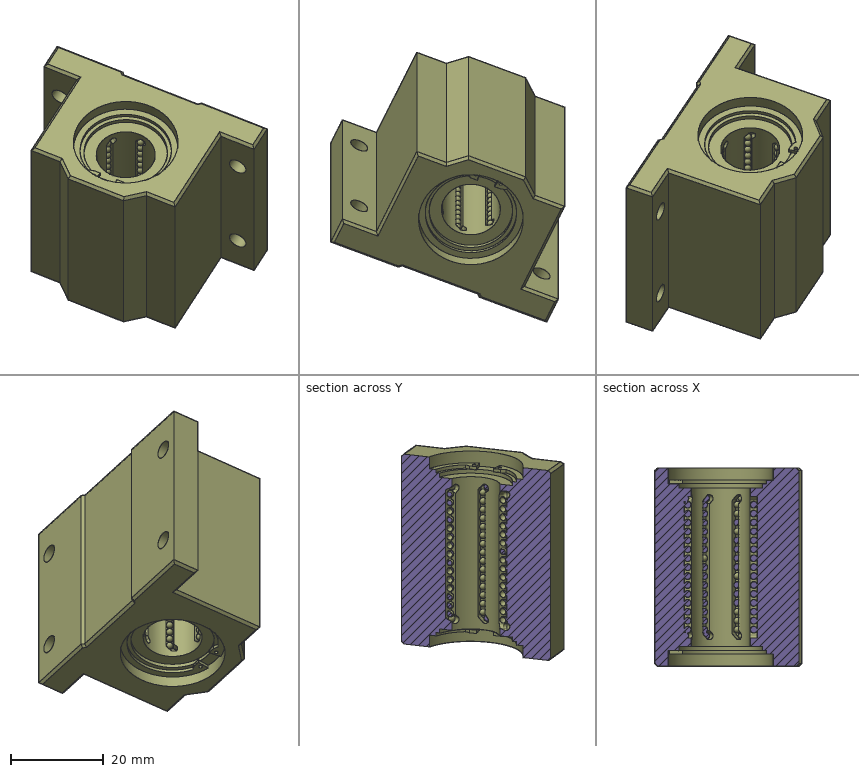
import cadquery as cq
import math

width = 50.8
height = 42.86
depth = 31.75
bore_to_back = 17.5
flange_thickness = 6.35
body_half_width = 17.4
nose_depth = 3.45
nose_outer_half_width = 10.45
nose_inner_half_width = 6.7
relief_depth = 0.6
relief_half_width = 9.5
edge_chamfer = 0.6

mount_hole_diameter = 3.97
mount_spacing_x = 42.9
mount_spacing_z = 25.4

bore_radius = 11.3
shaft_radius = 6.35
ring_depth = 2.65
ring_thickness = 0.75
ring_inner_radius = 9.85
shoulder_radius = 9.0
shoulder_thickness = 0.9
bearing_face_depth = ring_depth + ring_thickness + shoulder_thickness

ring_bottom = height - ring_depth - ring_thickness
lug_inner_y = -8.2
lug_gap_half_width = 2.0
lug_gap_taper = 0.4
lug_inner_end_x = 3.6
lug_root_x = 4.9
lug_root_y = -8.7
lug_hole_x = 2.95
lug_hole_y = -9.45
lug_hole_diameter = 0.75

track_count = 6
first_track_angle = 30.0
track_width = 1.65
track_depth = 1.5
track_end_offset = 0.8
track_end_inset = 2.3
first_ball_inset = 3.65
hook_angle = 45.0
ball_diameter = 1.5
ball_clearance = 0.05
hook_ball_setback = 0.5
ball_target_pitch = 1.9


def make_housing():
    """Flanged block with a tapered nose and a shallow relief across its back."""
    back = bore_to_back
    half_width = width / 2
    flange_front = back - flange_thickness
    nose_front = back - depth
    body_front = nose_front + nose_depth
    right_side = [
        (nose_inner_half_width, nose_front),
        (nose_outer_half_width, body_front),
        (body_half_width, body_front),
        (body_half_width, flange_front),
        (half_width, flange_front),
        (half_width, back),
        (relief_half_width, back),
        (relief_half_width - relief_depth, back - relief_depth),
    ]
    left_side = [(-x, y) for x, y in reversed(right_side)]
    outline = right_side + left_side
    block = cq.Workplane("XY").polyline(outline).close().extrude(height)
    return block.faces("<Z or >Z").chamfer(edge_chamfer)


def make_mount_holes():
    """Four cylinders running along Y through the flanges."""
    return (
        cq.Workplane("XZ", origin=(0, bore_to_back, height / 2))
        .rarray(mount_spacing_x, mount_spacing_z, 2, 2)
        .circle(mount_hole_diameter / 2)
        .extrude(depth)
    )


def make_disc(radius, bottom, thickness):
    """Disc on the bore axis, rising from the height `bottom`."""
    return cq.Workplane("XY").workplane(offset=bottom).circle(radius).extrude(thickness)


def make_ring_lug():
    """Lug on the +X side of the ring gap, reaching from the bore wall to its flat inner edge."""
    outline = [
        (lug_gap_half_width, lug_inner_y),
        (lug_inner_end_x, lug_inner_y),
        (lug_root_x, lug_root_y),
        (lug_root_x, -bore_radius),
        (lug_gap_half_width, -bore_radius),
    ]
    plane = cq.Workplane("XY").workplane(offset=ring_bottom)
    return plane.polyline(outline).close().extrude(ring_thickness)


def make_ring_opening():
    """Open space inside the top retaining ring, including the gap between its lugs."""
    plane = cq.Workplane("XY").workplane(offset=ring_bottom)
    opening = make_disc(ring_inner_radius, ring_bottom, ring_thickness)
    lug = make_ring_lug()
    opening = opening.cut(lug).cut(lug.mirror("YZ"))
    gap_outer_half_width = lug_gap_half_width + lug_gap_taper
    gap = (
        plane.moveTo(-lug_gap_half_width, lug_inner_y)
        .lineTo(lug_gap_half_width, lug_inner_y)
        .lineTo(gap_outer_half_width, -bore_radius)
        .lineTo(-gap_outer_half_width, -bore_radius)
        .close()
        .extrude(ring_thickness)
        .intersect(make_disc(bore_radius, ring_bottom, ring_thickness))
    )
    pin_holes = (
        plane.pushPoints([(-lug_hole_x, lug_hole_y), (lug_hole_x, lug_hole_y)])
        .circle(lug_hole_diameter / 2)
        .extrude(ring_thickness)
    )
    return opening.union(gap).union(pin_holes)


def make_end_recess():
    """Everything removed above the bearing's upper end face."""
    mouth = make_disc(bore_radius, height - ring_depth, ring_depth)
    shoulder = make_disc(shoulder_radius, height - bearing_face_depth, shoulder_thickness)
    return mouth.union(make_ring_opening()).union(shoulder)


def make_track():
    """Ball track on the +X side of the shaft hole, with the volume of its balls left out."""
    end_z = height / 2 - bearing_face_depth - track_end_inset
    corner_z = end_z - track_end_offset * math.tan(math.radians(hook_angle))
    floor_radius = shaft_radius + track_depth
    plane = cq.Workplane("YZ", origin=(0, 0, height / 2))

    straight = plane.slot2D(2 * corner_z + track_width, track_width, 90).extrude(floor_radius)
    hook_length = track_end_offset / math.cos(math.radians(hook_angle)) + track_width
    hooks = []
    for side in (1, -1):
        hook = (
            plane.center(-track_end_offset / 2, side * (end_z + corner_z) / 2)
            .slot2D(hook_length, track_width, -hook_angle * side)
            .extrude(floor_radius)
        )
        hooks.append(hook)
    track = straight.union(hooks[0]).union(hooks[1])

    first_ball_z = height / 2 - bearing_face_depth - first_ball_inset
    pitch_count = round(2 * first_ball_z / ball_target_pitch)
    ball_pitch = 2 * first_ball_z / pitch_count
    ball_radius = ball_diameter / 2
    centre_radius = shaft_radius + ball_clearance + ball_radius
    hook_x = centre_radius + hook_ball_setback
    ball_centres = [(centre_radius, 0, -first_ball_z + i * ball_pitch) for i in range(pitch_count + 1)]
    ball_centres += [(hook_x, -track_end_offset, end_z), (hook_x, -track_end_offset, -end_z)]
    for x, y, z in ball_centres:
        ball = cq.Workplane("XY").sphere(ball_radius).translate((x, y, z + height / 2))
        track = track.cut(ball)
    return track


def cut_bearing_bore(body):
    """Cut the end recesses, the shaft hole and the ring of ball tracks."""
    recess = make_end_recess()
    middle = (0, 0, height / 2)
    body = body.cut(recess).cut(recess.mirror("XY", middle))
    body = body.cut(make_disc(shaft_radius, 0, height))
    track = make_track()
    for i in range(track_count):
        angle = first_track_angle + i * 360 / track_count
        body = body.cut(track.rotate((0, 0, 0), (0, 0, 1), angle))
    return body


housing = make_housing().cut(make_mount_holes())
result = cut_bearing_bore(housing)